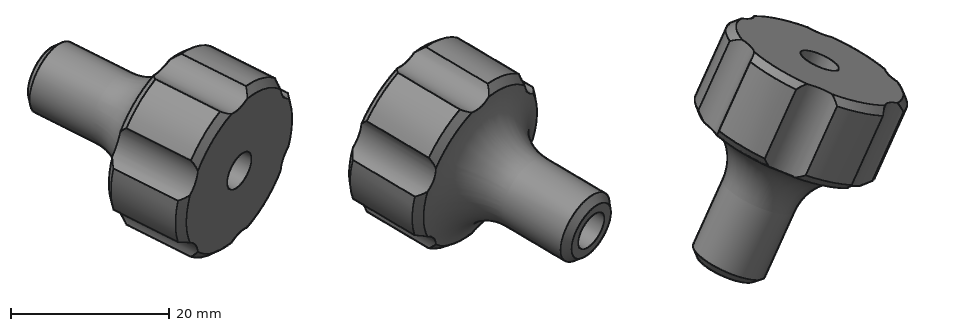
import cadquery as cq
import math

total_length = 30
head_diameter = 25.0
stem_diameter = 10.0
bore_diameter = 5.28
stem_length = 10.5
flare_radius = 7.5
chamfer = 1.0

flute_count = 6
flute_radius = 4.0
flute_center_radius = 15

head_radius = head_diameter / 2
stem_radius = stem_diameter / 2
chamfer_radius = head_radius - chamfer


def flare_x(radius):
    """X position of the concave flare at a given distance from the axis."""
    rise = radius - stem_radius
    return stem_length + math.sqrt(flare_radius**2 - (flare_radius - rise) ** 2)


def flare_point(turn):
    """Point (x, radius) on the flare after it has turned by an angle from the stem."""
    return (
        stem_length + flare_radius * math.sin(turn),
        stem_radius + flare_radius * (1 - math.cos(turn)),
    )


def make_body():
    """Stem, concave flare and chamfered head, revolved about X."""
    flare_end_x = flare_x(chamfer_radius)
    flare_turn = math.asin((flare_end_x - stem_length) / flare_radius)
    head_start = stem_length + flare_radius
    profile = (
        cq.Workplane("XY")
        .lineTo(0, stem_radius - chamfer)
        .lineTo(chamfer, stem_radius)
        .lineTo(stem_length, stem_radius)
        .threePointArc(flare_point(flare_turn / 2), (flare_end_x, chamfer_radius))
        .lineTo(head_start + chamfer, head_radius)
        .lineTo(total_length - chamfer, head_radius)
        .lineTo(total_length, chamfer_radius)
        .lineTo(total_length, 0)
        .close()
    )
    return profile.revolve(360, (0, 0, 0), (1, 0, 0))


def make_flutes():
    """Cylinders parallel to X, evenly spaced, with the first one on the +Z side."""
    flutes = cq.Workplane("YZ").polarArray(flute_center_radius, 90, 360, flute_count)
    return flutes.circle(flute_radius).extrude(total_length)


bore = cq.Workplane("YZ").circle(bore_diameter / 2).extrude(total_length)

result = make_body().cut(make_flutes()).cut(bore)